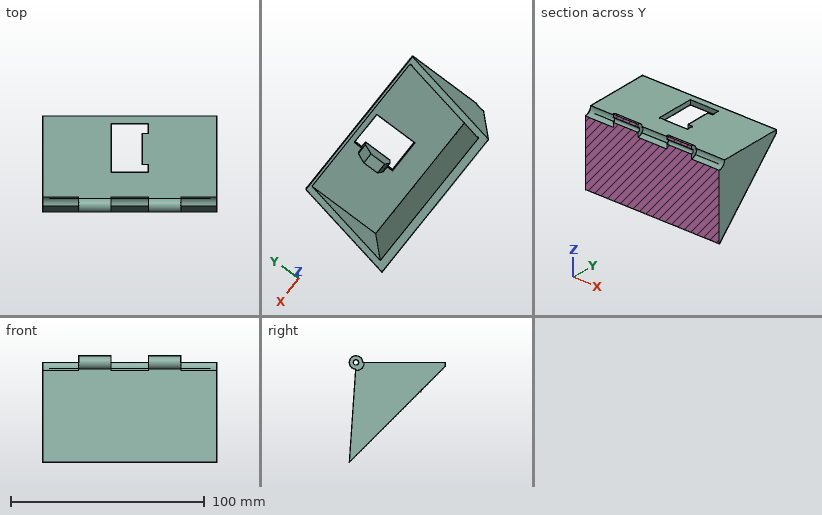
import cadquery as cq

length = 90.0
depth = 49.6
height = 55.1
knuckle_radius = 3.5
front_y = -knuckle_radius
back_y = front_y + depth
tip_z = knuckle_radius - height
back_lip_height = 2.0

top_thickness = 3.15
front_thickness = 3.6
side_thickness = 3.6

knuckle_length = 16.7
knuckle_spacing = 36.0
pin_diameter = 2.6
groove_radius = 4.2

window_width = 18.9
window_length = 24.8
window_margin = 4.1

tab_thickness = 6.0
tab_inset = 3.1
tab_width = 16.1
tab_back_margin = 9.0
tab_straight_height = 5.4
tab_height = 15.1
tab_taper = 3.6


def prism(points, start_x, end_x):
    """Extrude a closed (Y, Z) outline between two X positions."""
    return cq.Workplane("YZ", origin=(start_x, 0, 0)).polyline(points).close().extrude(end_x - start_x)


def rod(radius, center_x, rod_length):
    """Cylinder on the hinge axis."""
    start_x = center_x - rod_length / 2
    return cq.Workplane("YZ", origin=(start_x, 0, 0)).circle(radius).extrude(rod_length)


def make_shell():
    outline = [(0, 0), (back_y, 0), (back_y, -back_lip_height), (front_y, tip_z)]
    body = prism(outline, -length / 2, length / 2)
    cavity_outline = [
        (front_y * top_thickness / -tip_z + front_thickness, -top_thickness),
        (back_y, -top_thickness),
        (back_y, tip_z),
        (front_y + front_thickness, tip_z),
    ]
    inner_x = length / 2 - side_thickness
    return body.cut(prism(cavity_outline, -inner_x, inner_x))


def make_window():
    center_y = back_y - window_margin - window_length / 2
    return cq.Workplane("XY").center(0, center_y).rect(window_width, window_length).extrude(-top_thickness)


def make_tab():
    tab_back = back_y - tab_back_margin
    tab_front = tab_back - tab_width
    outline = [
        (tab_front, 0),
        (tab_back, 0),
        (tab_back, -tab_straight_height),
        (tab_back - tab_taper, -tab_height),
        (tab_front + tab_taper, -tab_height),
        (tab_front, -tab_straight_height),
    ]
    start_x = window_width / 2 - tab_inset
    return prism(outline, start_x, start_x + tab_thickness)


def add_hinge(body):
    groove = rod(groove_radius, 0, length)
    knuckle_centers = (-knuckle_spacing / 2, knuckle_spacing / 2)
    for center_x in knuckle_centers:
        groove = groove.cut(rod(groove_radius, center_x, knuckle_length))
    body = body.cut(groove)
    for center_x in knuckle_centers:
        body = body.union(rod(knuckle_radius, center_x, knuckle_length))
    return body.cut(rod(pin_diameter / 2, 0, length))


result = add_hinge(make_shell().cut(make_window()).union(make_tab()))